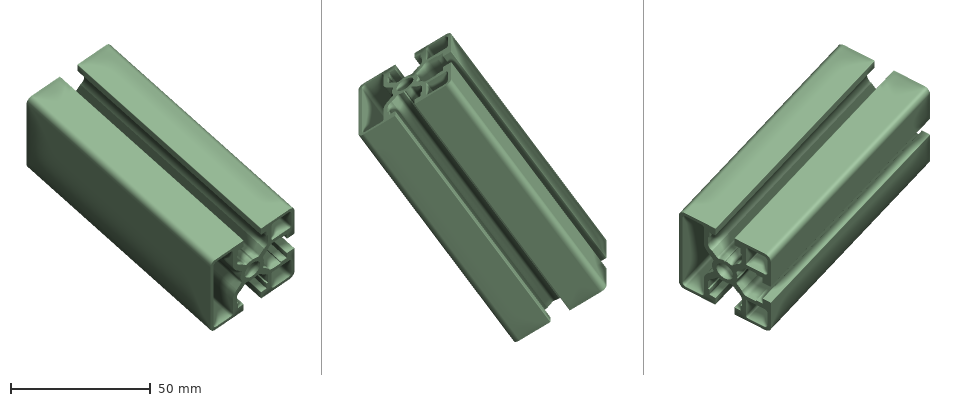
import cadquery as cq
import math

length = 100.0
side = 40.0
half_side = side / 2
outer_corner_radius = 2.5

core_radius = 5.6
bore_diameter = 7.3

opening_width = 8.2
neck_width = 13.6
bay_width = 14.8
lip_height = half_side - 3.6
neck_height = 13.6
bay_floor_height = 7.3
bay_corner_radius = 2.8
lip_edge_round = 0.2
groove_width = 0.8
groove_depth = 0.3

strut_offset = 1.9
root_fillet = 1.0
bay_overlap = 0.5

outer_wall = 1.5
chamber_inner = 9.2
chamber_outer = half_side - outer_wall
chamber_outer_fillet = 1.5
chamber_inner_fillet = 1.0
chamber_axis_fillet = 0.4
chamber_bend_radius = 6.0


def section():
    """Cross-section sketch plane: local x is Y, local y is Z, extruded along X."""
    return cq.Workplane("YZ", origin=(-length / 2, 0, 0))


def block(y_min, y_max, z_min, z_max):
    """Full-length rectangular bar between the given Y and Z limits."""
    center_y = (y_min + y_max) / 2
    center_z = (z_min + z_max) / 2
    return section().center(center_y, center_z).rect(y_max - y_min, z_max - z_min).extrude(length)


def fillet_edge(body, y, z, radius):
    """Round the lengthwise edge of a body that passes through (y, z)."""
    edge = body.edges(cq.selectors.NearestToPointSelector((0, y, z)))
    return edge.fillet(radius)


def strut_root():
    """Width and height at which a strut face meets the round core."""
    width = (math.sqrt(2 * core_radius**2 - strut_offset**2) - strut_offset) / 2
    return width, width + strut_offset


def turned(y, z, angle):
    """Rotate a point of the cross-section about the part's axis by degrees."""
    cosine = math.cos(math.radians(angle))
    sine = math.sin(math.radians(angle))
    return y * cosine - z * sine, y * sine + z * cosine


def core():
    """Solid round bar on the part's axis."""
    return section().circle(core_radius).extrude(length)


def slot_cutter():
    """T-slot opening upward, with a drill-guide groove along its floor."""
    opening = block(-opening_width / 2, opening_width / 2, neck_height, half_side)
    neck = block(-neck_width / 2, neck_width / 2, neck_height, lip_height)
    bay = block(-bay_width / 2, bay_width / 2, bay_floor_height, neck_height)
    bay = bay.edges("|X and <Z").fillet(bay_corner_radius)

    valley_top = bay_floor_height + bay_overlap
    valley_half = valley_top - strut_offset
    valley = (
        section()
        .moveTo(0, strut_offset)
        .lineTo(valley_half, valley_top)
        .lineTo(-valley_half, valley_top)
        .close()
        .extrude(length)
        .cut(core())
    )
    root_y, root_z = strut_root()
    for y in (-root_y, root_y):
        valley = fillet_edge(valley, y, root_z, root_fillet)

    groove = (
        section()
        .moveTo(0, core_radius - groove_depth)
        .lineTo(groove_width / 2, core_radius)
        .lineTo(-groove_width / 2, core_radius)
        .close()
        .extrude(length)
    )
    return opening.union(neck).union(bay).union(valley).union(groove)


def square_chamber():
    """Corner chamber on the +Y, +Z side."""
    chamber = block(chamber_inner, chamber_outer, chamber_inner, chamber_outer)
    chamber = fillet_edge(chamber, chamber_outer, chamber_outer, chamber_outer_fillet)
    chamber = fillet_edge(chamber, chamber_inner, chamber_outer, chamber_inner_fillet)
    chamber = fillet_edge(chamber, chamber_outer, chamber_inner, chamber_inner_fillet)
    return fillet_edge(chamber, chamber_inner, chamber_inner, chamber_axis_fillet)


def tall_chamber():
    """Full-height chamber behind the closed -Y face, reaching in to the core."""
    bend_z = chamber_inner - strut_offset
    chamber = block(-chamber_outer, -chamber_inner, -chamber_outer, chamber_outer)
    valley = (
        section()
        .moveTo(-strut_offset, 0)
        .lineTo(-chamber_inner, bend_z)
        .lineTo(-chamber_inner, -bend_z)
        .close()
        .extrude(length)
        .cut(core())
    )
    chamber = chamber.union(valley)
    root_z, root_y = strut_root()
    for sign in (-1, 1):
        chamber = fillet_edge(chamber, -root_y, sign * root_z, root_fillet)
        chamber = fillet_edge(chamber, -chamber_inner, sign * bend_z, chamber_bend_radius)
        chamber = fillet_edge(chamber, -chamber_outer, sign * chamber_outer, chamber_outer_fillet)
        chamber = fillet_edge(chamber, -chamber_inner, sign * chamber_outer, chamber_inner_fillet)
    return chamber


body = block(-half_side, half_side, -half_side, half_side)
body = body.edges("|X").fillet(outer_corner_radius)
body = body.cut(section().circle(bore_diameter / 2).extrude(length))

slot = slot_cutter()
for angle in (0, -90, 180):
    body = body.cut(slot.rotate((0, 0, 0), (1, 0, 0), angle))
    for lip_side in (-1, 1):
        for height in (half_side, lip_height):
            y, z = turned(lip_side * opening_width / 2, height, angle)
            body = fillet_edge(body, y, z, lip_edge_round)

corner_chamber = square_chamber()
body = body.cut(corner_chamber)
body = body.cut(corner_chamber.mirror("XY"))
body = body.cut(tall_chamber())

result = body